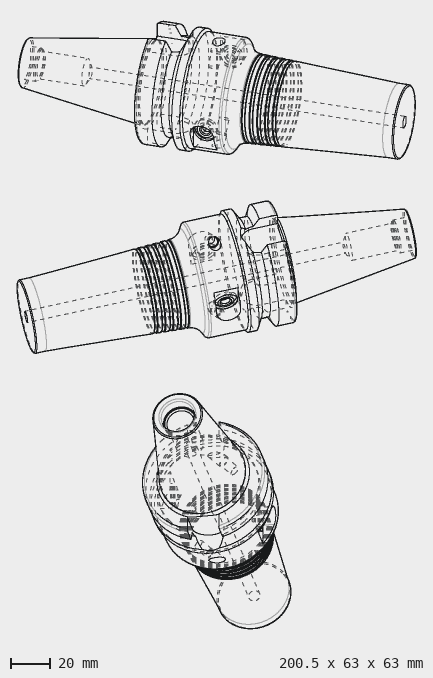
import cadquery as cq
import math

length = 200.5
small_end_chamfer = 0.6
taper_end = 65.3
relief_start = 66.3
flange_face = 67.1
front_rim_end = 76.8
rear_rim_start = 87.2
rear_rim_end = 91.4
body_start = 92.4
neck_fillet_end = 120.6
tip_start = 194.8
tip_chamfer = 0.6

taper_small_radius = 25.5 / 2
taper_slope = 7 / 24 / 2
relief_radius = 43.5 / 2
undercut_outer_radius = 23.8
undercut_depth = 0.5
flange_radius = 63.0 / 2
flange_fillet = 1.2
grip_radius = 26
grip_wall_angle = math.radians(60)
body_radius = 60.0 / 2
shoulder_angle = math.radians(60)
shoulder_fillet = 1.2
neck_fillet = 8
nose_angle = math.radians(3)
tip_radius = 38 / 2

ring_count = 5
ring_first = 121.2
ring_pitch = 4
ring_top_width = 2
ring_floor_width = 1.2
ring_depth = 0.5

slot_width = 16.2
slot_end = 88.4
slot_floor = 22.6

counterbore_radius = 17.0 / 2
counterbore_depth = 7.0
mouth_fillet = 1.0
thread_entry_radius = 16 / 2
thread_entry_length = 0.8
thread_chamfer_angle = math.radians(60)
thread_radius = 14 / 2
thread_depth = 32
through_radius = 5.8 / 2
drill_half_angle = math.radians(59)

port_x = 102.2
pocket_width = 12.5
pocket_offset = 9.2
pocket_floor = 22.6
screw_radius = 6
screw_top_radius = 4.2
socket_mouth_radius = 6 / 2
socket_radius = 2.5
socket_depth = 3.0
slant_radius = 6 / 2
slant_angle = 45
slant_depth = 6
slant_entry_y = 0.6
slant_inner_radius = 5.0 / 2
slant_inner_depth = 14


def taper_radius(x):
    """Radius of the taper, which widens towards the flange."""
    return taper_small_radius + taper_slope * x


def nose_radius(x):
    """Radius of the nose cone, which narrows towards the tip."""
    return tip_radius + (tip_start - x) * math.tan(nose_angle)


def arc_point(center, radius, angle):
    """Point on a circle at an angle from straight up, positive towards +X."""
    return (center[0] + radius * math.sin(angle), center[1] + radius * math.cos(angle))


def outer_body():
    """Everything turned on the outside, from the taper to the nose tip."""
    grip_run = (flange_radius - grip_radius) / math.tan(grip_wall_angle)
    neck_end = (neck_fillet_end, nose_radius(neck_fillet_end))
    neck_center = arc_point(neck_end, neck_fillet, nose_angle)
    neck_mid = arc_point(neck_center, -neck_fillet, (shoulder_angle + nose_angle) / 2)
    neck_start = arc_point(neck_center, -neck_fillet, shoulder_angle)
    corner_x = neck_start[0] - (body_radius - neck_start[1]) / math.tan(shoulder_angle)
    shoulder_start = corner_x - shoulder_fillet * math.tan(shoulder_angle / 2)
    shoulder_center = (shoulder_start, body_radius - shoulder_fillet)
    shoulder_mid = arc_point(shoulder_center, shoulder_fillet, shoulder_angle / 2)
    shoulder_end = arc_point(shoulder_center, shoulder_fillet, shoulder_angle)
    flange_center = (flange_face + flange_fillet, flange_radius - flange_fillet)
    flange_mid = arc_point(flange_center, flange_fillet, math.radians(-45))
    undercut_mid = (flange_face + undercut_depth, (relief_radius + undercut_outer_radius) / 2)
    profile = (
        cq.Workplane("XY")
        .moveTo(0, 0)
        .lineTo(0, taper_small_radius - small_end_chamfer)
        .lineTo(small_end_chamfer, taper_radius(small_end_chamfer))
        .lineTo(taper_end, taper_radius(taper_end))
        .lineTo(relief_start, relief_radius)
        .threePointArc(undercut_mid, (flange_face, undercut_outer_radius))
        .lineTo(flange_face, flange_center[1])
        .threePointArc(flange_mid, (flange_center[0], flange_radius))
        .lineTo(front_rim_end, flange_radius)
        .lineTo(front_rim_end + grip_run, grip_radius)
        .lineTo(rear_rim_start - grip_run, grip_radius)
        .lineTo(rear_rim_start, flange_radius)
        .lineTo(rear_rim_end, flange_radius)
        .lineTo(body_start, body_radius)
        .lineTo(shoulder_start, body_radius)
        .threePointArc(shoulder_mid, shoulder_end)
        .lineTo(*neck_start)
        .threePointArc(neck_mid, neck_end)
        .lineTo(tip_start, tip_radius)
        .lineTo(length - tip_chamfer, tip_radius)
        .lineTo(length, tip_radius - tip_chamfer)
        .lineTo(length, 0)
        .close()
    )
    return profile.revolve(360, (0, 0, 0), (1, 0, 0))


def ring_groove(start):
    """V-sided groove sunk into the nose cone."""
    end = start + ring_top_width
    side = (ring_top_width - ring_floor_width) / 2
    floor_start = start + side
    floor_end = end - side
    clear = nose_radius(start) + ring_depth
    profile = [
        (start, clear),
        (start, nose_radius(start)),
        (floor_start, nose_radius(floor_start) - ring_depth),
        (floor_end, nose_radius(floor_end) - ring_depth),
        (end, nose_radius(end)),
        (end, clear),
    ]
    return cq.Workplane("XY").polyline(profile).close().revolve(360, (0, 0, 0), (1, 0, 0))


def drive_slot():
    """Round-ended slot on the +Z side of the flange, open towards the taper."""
    half_width = slot_width / 2
    arc_start = slot_end - half_width
    outline = (
        cq.Workplane("XY", origin=(0, 0, slot_floor))
        .moveTo(taper_end, -half_width)
        .lineTo(arc_start, -half_width)
        .threePointArc((slot_end, 0), (arc_start, half_width))
        .lineTo(taper_end, half_width)
        .close()
    )
    return outline.extrude(flange_radius)


def stud_bore():
    """Stepped bore in the small end, with the through hole beyond it."""
    mouth_center = (mouth_fillet, counterbore_radius + mouth_fillet)
    mouth_mid = arc_point(mouth_center, mouth_fillet, math.radians(-135))
    entry_end = counterbore_depth + thread_entry_length
    thread_start = entry_end + (thread_entry_radius - thread_radius) / math.tan(thread_chamfer_angle)
    drill_end = thread_depth + (thread_radius - through_radius) / math.tan(drill_half_angle)
    profile = (
        cq.Workplane("XY")
        .moveTo(0, 0)
        .lineTo(0, mouth_center[1])
        .threePointArc(mouth_mid, (mouth_fillet, counterbore_radius))
        .lineTo(counterbore_depth, counterbore_radius)
        .lineTo(counterbore_depth, thread_entry_radius)
        .lineTo(entry_end, thread_entry_radius)
        .lineTo(thread_start, thread_radius)
        .lineTo(thread_depth, thread_radius)
        .lineTo(drill_end, through_radius)
        .lineTo(length, through_radius)
        .lineTo(length, 0)
        .close()
    )
    return profile.revolve(360, (0, 0, 0), (1, 0, 0))


def screw_pocket():
    """Pocket on the -Y side, open towards -Z, with a flush chamfered screw in its floor."""
    half_width = pocket_width / 2
    pocket = (
        cq.Workplane("XZ", origin=(port_x, -pocket_floor, -pocket_offset))
        .moveTo(-half_width, -body_radius)
        .lineTo(-half_width, 0)
        .threePointArc((0, half_width), (half_width, 0))
        .lineTo(half_width, -body_radius)
        .close()
        .extrude(body_radius)
    )
    axis_start = (0, 0, 0)
    axis_end = (0, 1, 0)
    section = cq.Workplane("XY", origin=(port_x, -pocket_floor, -pocket_offset))
    rim = section.polyline(
        [
            (screw_top_radius, 0),
            (screw_radius, 0),
            (screw_radius, screw_radius - screw_top_radius),
        ]
    )
    rim = rim.close().revolve(360, axis_start, axis_end)
    socket_chamfer = socket_mouth_radius - socket_radius
    socket = section.polyline(
        [
            (0, 0),
            (socket_mouth_radius, 0),
            (socket_radius, socket_chamfer),
            (socket_radius, socket_depth),
            (0, socket_depth + socket_radius / math.tan(drill_half_angle)),
        ]
    )
    socket = socket.close().revolve(360, axis_start, axis_end)
    return pocket.union(rim).union(socket)


def slanted_hole():
    """Stepped blind hole in the top of the body, leaning so that its bottom is towards -Y."""
    entry_clearance = 2 * slant_radius
    hole = (
        cq.Workplane("XY", origin=(0, 0, entry_clearance))
        .circle(slant_radius)
        .extrude(-(slant_depth + entry_clearance))
    )
    inner = cq.Workplane("XY").circle(slant_inner_radius).extrude(-slant_inner_depth)
    leaning = hole.union(inner).rotate((0, 0, 0), (1, 0, 0), -slant_angle)
    return leaning.translate((port_x, slant_entry_y, body_radius))


result = outer_body().cut(stud_bore())
for index in range(ring_count):
    result = result.cut(ring_groove(ring_first + index * ring_pitch))

for feature in (drive_slot(), screw_pocket(), slanted_hole()):
    for turn in (0, 180):
        result = result.cut(feature.rotate((0, 0, 0), (1, 0, 0), turn))